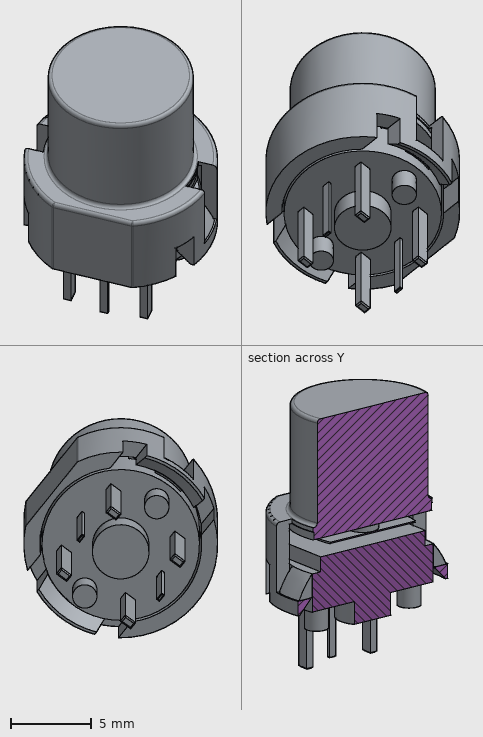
import cadquery as cq
import math


cap_top_z = 17.5
skirt_top_z = 10.5
bottom_z = 4.99

button_radius = 9.0 / 2
skirt_radius = 5.994
skirt_flat_y = -5.399
edge_radius = 0.25
bore_radius = 5.0
ceiling_z = 10.2
flare_radius = button_radius + edge_radius
collar_radius = 4.76
collar_bottom_z = 9.68
stem_radius = 2.0 / 2
plate_radius = 7.0 / 2
plate_bottom_z = 9.17
plate_thickness = 0.114

window_width = 2.3
window_inner_radius = 4.81
window_bottom_z = 5.95
tab_half_width = 2.25
notch_width = 1.3
notch_height = 2.42
tab_tip_radius = 5.81
tab_chamfer_height = 0.85

base_radius = 4.86
ledge_z = 7.5
base_top_z = 8.49
base_top_half_width = 4.13
barb_width = 2.0
barb_radius = 5.88
barb_bulge = 0.05
centre_peg_radius = 3.5 / 2
side_peg_radius = 1.5 / 2
side_peg_offset = 3.64
peg_bottom_z = 3.5

terminal_offset = 2.5
terminal_size = (0.5, 0.8)
terminal_chamfer = 0.09
blade_offset = 3.12
blade_size = (0.5, 0.21)
blade_chamfer = 0.05

SIDES = (-1, 1)


def cylinder(radius, z_low, z_high):
    """Upright cylinder on the Z axis."""
    return cq.Workplane("XY", origin=(0, 0, z_low)).circle(radius).extrude(z_high - z_low)


def block(x_range, y_range, z_range):
    """Box given by its limits along each axis."""
    sizes = [high - low for low, high in (x_range, y_range, z_range)]
    corner = (x_range[0], y_range[0], z_range[0])
    return cq.Workplane("XY", origin=corner).box(*sizes, centered=False)


def make_skirt():
    """Rounded drum with a flat on -Y, open at the bottom."""
    envelope = block(
        (-skirt_radius, skirt_radius), (skirt_flat_y, skirt_radius), (bottom_z, skirt_top_z)
    )
    skirt = cylinder(skirt_radius, bottom_z, skirt_top_z).intersect(envelope)
    flat_corner_x = math.sqrt(skirt_radius**2 - skirt_flat_y**2)
    for side in SIDES:
        corner = (side * flat_corner_x, skirt_flat_y, (bottom_z + skirt_top_z) / 2)
        skirt = skirt.edges(cq.selectors.NearestToPointSelector(corner)).fillet(edge_radius)
    skirt = skirt.faces(">Z").edges().fillet(edge_radius)
    return skirt.cut(cylinder(bore_radius, bottom_z, ceiling_z))


def make_button():
    """Round button with a rounded top edge and a concave flare at its foot."""
    arc_shift = edge_radius * math.sqrt(0.5)
    top_arc_centre = (button_radius - edge_radius, cap_top_z - edge_radius)
    flare_centre = (flare_radius, skirt_top_z + edge_radius)
    return (
        cq.Workplane("XZ")
        .moveTo(0, ceiling_z)
        .lineTo(flare_radius, ceiling_z)
        .lineTo(flare_radius, skirt_top_z)
        .threePointArc(
            (flare_centre[0] - arc_shift, flare_centre[1] - arc_shift),
            (button_radius, flare_centre[1]),
        )
        .lineTo(button_radius, top_arc_centre[1])
        .threePointArc(
            (top_arc_centre[0] + arc_shift, top_arc_centre[1] + arc_shift),
            (top_arc_centre[0], cap_top_z),
        )
        .lineTo(0, cap_top_z)
        .close()
        .revolve(360, (0, 0, 0), (0, 1, 0))
    )


def make_window_cutter():
    """Both latch windows, cut inward as far as the foot of the button."""
    windows = block(
        (-skirt_radius, skirt_radius),
        (-window_width / 2, window_width / 2),
        (window_bottom_z, skirt_top_z),
    )
    return windows.cut(cylinder(window_inner_radius, window_bottom_z, skirt_top_z))


def make_notch_cutter():
    """Notches on both sides of each tab, from the bore outward."""
    notches = cq.Workplane("XY")
    for side in SIDES:
        near_y = side * tab_half_width
        far_y = side * (tab_half_width + notch_width)
        notches = notches.add(
            block(
                (-skirt_radius, skirt_radius),
                (min(near_y, far_y), max(near_y, far_y)),
                (bottom_z, bottom_z + notch_height),
            )
        )
    return notches.combine()


def make_tab_chamfer_cutter():
    """Cone that bevels the inner lower edge of the two tabs."""
    cone = cq.Workplane("XY").add(
        cq.Solid.makeCone(
            tab_tip_radius, bore_radius, tab_chamfer_height, pnt=cq.Vector(0, 0, bottom_z)
        )
    )
    tab_zone = block(
        (-skirt_radius, skirt_radius),
        (-tab_half_width, tab_half_width),
        (bottom_z, bottom_z + tab_chamfer_height),
    )
    return cone.intersect(tab_zone)


def make_cap():
    skirt = make_skirt()
    skirt = skirt.cut(make_window_cutter()).cut(make_notch_cutter()).cut(make_tab_chamfer_cutter())
    collar = cylinder(collar_radius, collar_bottom_z, ceiling_z)
    stem = cylinder(stem_radius, plate_bottom_z, collar_bottom_z)
    plate = cylinder(plate_radius, plate_bottom_z, plate_bottom_z + plate_thickness)
    return skirt.union(make_button()).union(collar).union(stem).union(plate)


def make_barbs():
    """Ramped latch barbs whose undersides rest on the lower edges of the windows."""
    ramp_middle = (
        (base_radius + barb_radius) / 2 + barb_bulge,
        (window_bottom_z + ledge_z) / 2 + barb_bulge,
    )
    ring = (
        cq.Workplane("XZ")
        .moveTo(0, window_bottom_z)
        .lineTo(barb_radius, window_bottom_z)
        .threePointArc(ramp_middle, (base_radius, ledge_z))
        .lineTo(0, ledge_z)
        .close()
        .revolve(360, (0, 0, 0), (0, 1, 0))
    )
    barb_zone = block(
        (-barb_radius, barb_radius), (-barb_width / 2, barb_width / 2), (window_bottom_z, ledge_z)
    )
    return ring.intersect(barb_zone)


def make_pin(size, centre, chamfer):
    """Rectangular pin from Z = 0 up to the base, with a chamfered tip."""
    pin = cq.Workplane("XY", origin=(*centre, 0)).rect(*size).extrude(bottom_z)
    return pin.faces("<Z").edges().chamfer(chamfer)


def make_base():
    upper_zone = block(
        (-base_top_half_width, base_top_half_width),
        (-base_radius, base_radius),
        (ledge_z, base_top_z),
    )
    upper = cylinder(base_radius, ledge_z, base_top_z).intersect(upper_zone)
    base = cylinder(base_radius, bottom_z, ledge_z).union(upper).union(make_barbs())
    base = base.union(cylinder(centre_peg_radius, peg_bottom_z, bottom_z))
    for side in SIDES:
        side_peg = cylinder(side_peg_radius, peg_bottom_z, bottom_z)
        base = base.union(side_peg.translate((side * side_peg_offset, 0, 0)))
        base = base.union(make_pin(blade_size, (0, side * blade_offset), blade_chamfer))
    return base


cap = make_cap()
base = make_base()
terminals = cq.Workplane("XY")
for x_side in SIDES:
    for y_side in SIDES:
        terminal_centre = (x_side * terminal_offset, y_side * terminal_offset)
        terminals = terminals.add(make_pin(terminal_size, terminal_centre, terminal_chamfer))

result = cq.Compound.makeCompound([cap.solids().val(), base.solids().val(), *terminals.solids().vals()])